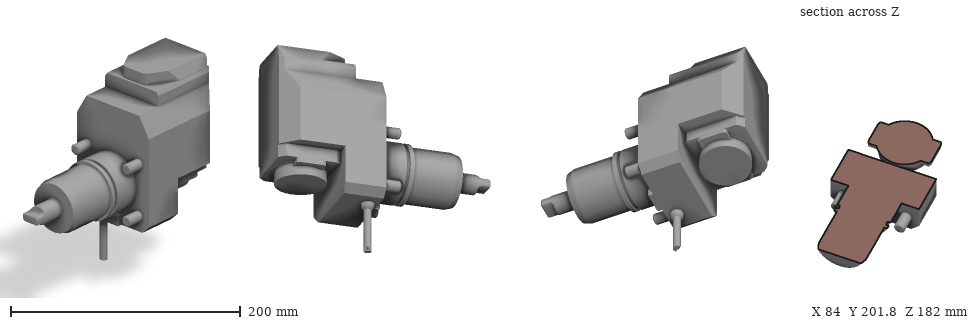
import cadquery as cq
import math


TAPER = math.tan(math.radians(60))

HALF_WIDTH = 42
BACK_Y = 94
BOTTOM_Z = -40
STEP_Y = 38
STEP_Z = 1.6
SHOULDER_Z = 71.5
NECK_HALF_WIDTH = 31
REAR_CHAMFER = 14.5
BOTTOM_CHAMFER = 7.5
STEP_EDGE_DEPTH = 1.5
STEP_EDGE_HEIGHT = 5

BLOCK_FRONT_Y = 24.4
BLOCK_TOP_Z = 85.5
BLOCK_BEVEL = 2

CAP_FRONT_Y = 27
CAP_TOP_Z = 96.5
CAP_BASE_HALF_WIDTH = 28.7
CAP_TOP_HALF_WIDTH = 23.5
CAP_BAND = 0.6
CAP_NOSE_HALF_WIDTH = 12.65
CAP_ROUNDING_RADIUS = 38.75
CAP_CHAMFER_INSET = 2.3

SPINDLE_Y = 64.7
FLANGE_SIZE = 60
FLANGE_CORNER_RADIUS = 38
FLANGE_BOTTOM_Z = -10
RING_DIAMETER = 50
RING_HEIGHT = 0.5
LUG_WIDTH = 27
LUG_CORNER_RADIUS = 31.8
LUG_BOTTOM_Z = -14.2
NUT_DIAMETER = 46
NUT_BOTTOM_Z = -22.2

COLLAR_DIAMETER = 55
GROOVE_DIAMETER = 54.6
BODY_DIAMETER = 50
NOSE_DIAMETER = 46
GROOVE_START_Y = -1.1
GROOVE_END_Y = -2.1
COLLAR_END_Y = -23.9
RIB_START_Y = -27.3
RIB_END_Y = -31.1
NOSE_START_Y = -70.6
NOSE_END_Y = -77

SHAFT_DIAMETER = 18
SHAFT_ROOT = 1.2
SHAFT_END_Y = -107.8
TANG_START_Y = -96.9
TANG_THICKNESS = 8
TANG_FILLET = 1.8
TANG_CHAMFER = 1

SCREW_DIAMETER = 10
SCREW_LENGTH = 16.3
SCREW_CHAMFER = 1
SCREW_X = 30
SCREW_Z = 25

KEY_WIDTH = 20.2
KEY_HEIGHT = 9.8
KEY_DEPTH = 5
KEY_SIDE_CHAMFER = 1.3
KEY_EDGE_CHAMFER = 0.6

NOZZLE_X = -19.5
NOZZLE_Y = 9.6
BALL_DIAMETER = 12
BALL_CENTER_Z = -41.6
TUBE_DIAMETER = 7
TUBE_BOTTOM_Z = -85.5
OUTLET_AZIMUTH = 148
OUTLET_SLOPE = 59
OUTLET_OFFSET = 1.1
OUTLET_DIAMETER = 2.1
OUTLET_DEPTH = 3


def box(x_min, x_max, y_min, y_max, z_min, z_max):
    size = (x_max - x_min, y_max - y_min, z_max - z_min)
    return cq.Workplane("XY").box(*size, centered=False).translate((x_min, y_min, z_min))


def mirrored(half_outline):
    """Closed outline from the points of its +X half."""
    return half_outline + [(-x, y) for x, y in reversed(half_outline)]


def extrude_along_y(outline, y_min, y_max):
    profile = cq.Workplane("XZ", origin=(0, y_max, 0)).polyline(outline).close()
    return profile.extrude(y_max - y_min)


def cut_rear_corners(body, chamfer):
    """Cut both rear vertical corners at 45 degrees, measured from the housing sides."""
    for side in (-1, 1):
        corner = (side * HALF_WIDTH, BACK_Y)
        wedge = (
            cq.Workplane("XY", origin=(0, 0, BOTTOM_Z))
            .polyline([
                corner,
                (corner[0] - side * chamfer, BACK_Y),
                (corner[0], BACK_Y - chamfer),
            ])
            .close()
            .extrude(CAP_TOP_Z - BOTTOM_Z)
        )
        body = body.cut(wedge)
    return body


def make_housing():
    shoulder_drop = (HALF_WIDTH - NECK_HALF_WIDTH) * TAPER
    housing = extrude_along_y(mirrored([
        (HALF_WIDTH - BOTTOM_CHAMFER, BOTTOM_Z),
        (HALF_WIDTH, BOTTOM_Z + BOTTOM_CHAMFER),
        (HALF_WIDTH, SHOULDER_Z - shoulder_drop),
        (NECK_HALF_WIDTH, SHOULDER_Z),
    ]), 0, BACK_Y)
    block = extrude_along_y(mirrored([
        (NECK_HALF_WIDTH, SHOULDER_Z),
        (NECK_HALF_WIDTH, BLOCK_TOP_Z - BLOCK_BEVEL * TAPER),
        (NECK_HALF_WIDTH - BLOCK_BEVEL, BLOCK_TOP_Z),
    ]), BLOCK_FRONT_Y, BACK_Y)
    undercut = box(-HALF_WIDTH, HALF_WIDTH, STEP_Y, BACK_Y, BOTTOM_Z, STEP_Z)
    step_edge = (
        cq.Workplane("YZ")
        .polyline([
            (STEP_Y, BOTTOM_Z),
            (STEP_Y, BOTTOM_Z + STEP_EDGE_HEIGHT),
            (STEP_Y - STEP_EDGE_DEPTH, BOTTOM_Z),
        ])
        .close()
        .extrude(HALF_WIDTH, both=True)
    )
    body = housing.union(block).cut(undercut).cut(step_edge)
    return cut_rear_corners(body, REAR_CHAMFER)


def make_cap():
    section = extrude_along_y(mirrored([
        (CAP_BASE_HALF_WIDTH, BLOCK_TOP_Z),
        (CAP_BASE_HALF_WIDTH, BLOCK_TOP_Z + CAP_BAND),
        (CAP_TOP_HALF_WIDTH, CAP_TOP_Z),
    ]), CAP_FRONT_Y, BACK_Y)
    nose_length = (CAP_BASE_HALF_WIDTH - CAP_NOSE_HALF_WIDTH) * TAPER
    plan = (
        cq.Workplane("XY", origin=(0, 0, BLOCK_TOP_Z))
        .polyline(mirrored([
            (CAP_NOSE_HALF_WIDTH, CAP_FRONT_Y),
            (CAP_BASE_HALF_WIDTH, CAP_FRONT_Y + nose_length),
            (CAP_BASE_HALF_WIDTH, BACK_Y),
        ]))
        .close()
        .extrude(CAP_TOP_Z - BLOCK_TOP_Z)
    )
    rounding = (
        cq.Workplane("XY", origin=(0, SPINDLE_Y, BLOCK_TOP_Z))
        .circle(CAP_ROUNDING_RADIUS)
        .extrude(CAP_TOP_Z - BLOCK_TOP_Z)
    )
    cap = section.intersect(plan).intersect(rounding)
    return cut_rear_corners(cap, REAR_CHAMFER + CAP_CHAMFER_INSET)


def make_spindle():
    def disc(diameter, bottom_z):
        axis = cq.Workplane("XY", origin=(0, SPINDLE_Y, bottom_z))
        return axis.circle(diameter / 2).extrude(STEP_Z - bottom_z)

    def plate(size_y, corner_radius, bottom_z):
        blank = cq.Workplane("XY", origin=(0, SPINDLE_Y, bottom_z)).rect(FLANGE_SIZE, size_y)
        return blank.extrude(STEP_Z - bottom_z).intersect(disc(2 * corner_radius, bottom_z))

    envelope = box(-HALF_WIDTH, HALF_WIDTH, STEP_Y, BACK_Y, NUT_BOTTOM_Z, STEP_Z)
    flange = plate(FLANGE_SIZE, FLANGE_CORNER_RADIUS, FLANGE_BOTTOM_Z).intersect(envelope)
    lug = plate(LUG_WIDTH, LUG_CORNER_RADIUS, LUG_BOTTOM_Z)
    ring = disc(RING_DIAMETER, FLANGE_BOTTOM_Z - RING_HEIGHT)
    nut = disc(NUT_DIAMETER, NUT_BOTTOM_Z)
    return flange.union(lug).union(ring).union(nut)


def make_shank():
    collar_radius = COLLAR_DIAMETER / 2
    body_radius = BODY_DIAMETER / 2
    shaft_radius = SHAFT_DIAMETER / 2
    return (
        cq.Workplane("XY")
        .polyline([
            (0, 0),
            (collar_radius, 0),
            (collar_radius, GROOVE_START_Y),
            (GROOVE_DIAMETER / 2, GROOVE_START_Y),
            (GROOVE_DIAMETER / 2, GROOVE_END_Y),
            (collar_radius, GROOVE_END_Y),
            (collar_radius, COLLAR_END_Y),
            (body_radius, COLLAR_END_Y),
            (body_radius, RIB_START_Y),
            (collar_radius, RIB_START_Y),
            (collar_radius, RIB_END_Y),
            (body_radius, RIB_END_Y),
            (body_radius, NOSE_START_Y),
            (NOSE_DIAMETER / 2, NOSE_END_Y),
            (shaft_radius + SHAFT_ROOT / 2, NOSE_END_Y),
            (shaft_radius, NOSE_END_Y - SHAFT_ROOT),
            (shaft_radius, TANG_START_Y + TANG_CHAMFER),
            (shaft_radius - TANG_CHAMFER, TANG_START_Y),
            (0, TANG_START_Y),
        ])
        .close()
        .revolve(360, (0, 0, 0), (0, 1, 0))
    )


def make_tang():
    half = TANG_THICKNESS / 2
    root_half = half + TANG_FILLET
    root_end_y = TANG_START_Y - TANG_FILLET
    bend = TANG_FILLET * (1 - math.sqrt(0.5))
    base_y = TANG_START_Y + TANG_CHAMFER
    length = base_y - SHAFT_END_Y
    base = cq.Workplane("XZ", origin=(0, base_y, 0))
    shaft_end = base.circle(SHAFT_DIAMETER / 2).extrude(length)
    root = (
        cq.Workplane("YZ")
        .moveTo(base_y, -root_half)
        .lineTo(TANG_START_Y, -root_half)
        .threePointArc((TANG_START_Y - bend, -half - bend), (root_end_y, -half))
        .lineTo(root_end_y, half)
        .threePointArc((TANG_START_Y - bend, half + bend), (TANG_START_Y, root_half))
        .lineTo(base_y, root_half)
        .close()
        .extrude(SHAFT_DIAMETER, both=True)
        .intersect(shaft_end)
    )
    blade = (
        base.rect(2 * SHAFT_DIAMETER, TANG_THICKNESS)
        .extrude(length)
        .intersect(shaft_end)
        .edges("|Y")
        .chamfer(TANG_CHAMFER)
        .faces("<Y")
        .chamfer(TANG_CHAMFER)
    )
    return blade.union(root)


def make_screws():
    return (
        cq.Workplane("XZ")
        .rect(2 * SCREW_X, 2 * SCREW_Z, forConstruction=True)
        .vertices()
        .circle(SCREW_DIAMETER / 2)
        .extrude(SCREW_LENGTH)
        .faces("<Y")
        .chamfer(SCREW_CHAMFER)
    )


def make_key():
    half = KEY_WIDTH / 2
    key = box(-half, half, -KEY_DEPTH, 0, BOTTOM_Z, BOTTOM_Z + KEY_HEIGHT)
    return key.faces("<Y").chamfer(KEY_SIDE_CHAMFER, KEY_EDGE_CHAMFER)


def make_nozzle():
    ball = cq.Workplane("XY").sphere(BALL_DIAMETER / 2)
    ball = ball.translate((NOZZLE_X, NOZZLE_Y, BALL_CENTER_Z))
    tube = (
        cq.Workplane("XY", origin=(NOZZLE_X, NOZZLE_Y, TUBE_BOTTOM_Z))
        .circle(TUBE_DIAMETER / 2)
        .extrude(BALL_CENTER_Z - TUBE_BOTTOM_Z)
    )
    return cut_outlet(ball.union(tube))


def cut_outlet(nozzle):
    """Slant the tube end and drill the outlet square to the slanted face."""
    azimuth = math.radians(OUTLET_AZIMUTH)
    slope = math.radians(OUTLET_SLOPE)
    facing = cq.Vector(math.cos(azimuth), math.sin(azimuth), 0)
    normal = facing * math.sin(slope) - cq.Vector(0, 0, math.cos(slope))
    uphill = facing * math.cos(slope) + cq.Vector(0, 0, math.sin(slope))
    low_edge = cq.Vector(NOZZLE_X, NOZZLE_Y, TUBE_BOTTOM_Z) + facing * OUTLET_OFFSET
    face_length = (TUBE_DIAMETER / 2 - OUTLET_OFFSET) / math.cos(slope)
    center = low_edge + uphill * (face_length / 2)
    slant = cq.Workplane(cq.Plane(center, uphill, normal))
    chip = slant.rect(2 * TUBE_DIAMETER, 2 * TUBE_DIAMETER).extrude(TUBE_DIAMETER)
    outlet = slant.circle(OUTLET_DIAMETER / 2).extrude(-OUTLET_DEPTH)
    return nozzle.cut(chip).cut(outlet)


result = make_housing()
for feature in (make_cap, make_spindle, make_shank, make_tang, make_screws, make_key, make_nozzle):
    result = result.union(feature())